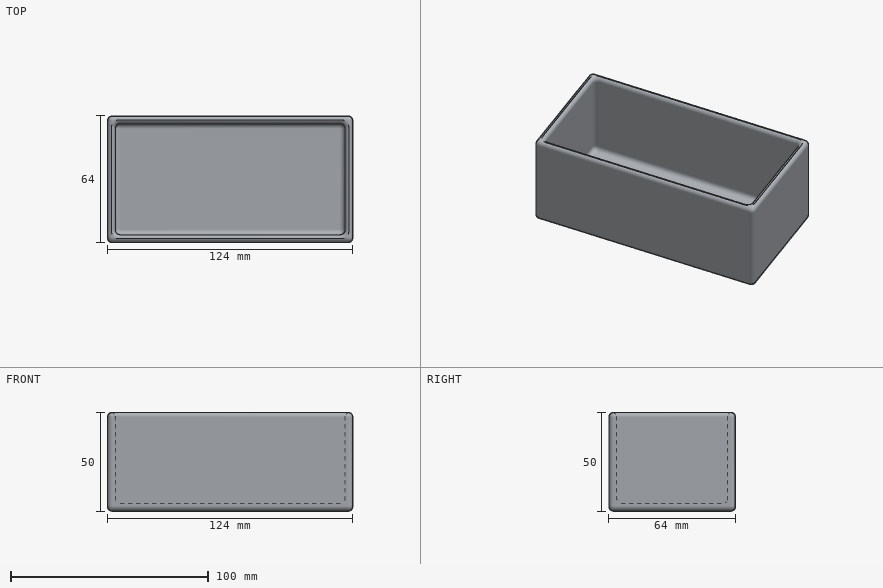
import cadquery as cq

length = 124.0
width = 64.0
height = 50.0

wall = 4.0
floor = wall
edge_radius = 2.5


def rounded_body():
    """Solid box with all twelve edges and eight corners rounded."""
    body = cq.Workplane("XY").box(length, width, height, centered=(True, True, False))
    return body.edges().fillet(edge_radius)


def cavity_mould():
    """Oversized block holding the cavity, with its floor, corners and mouth rounded."""
    margin = 2 * edge_radius
    cavity = (
        cq.Workplane("XY")
        .workplane(offset=floor)
        .box(length - 2 * wall, width - 2 * wall, height - floor, centered=(True, True, False))
        .edges("|Z or <Z")
        .fillet(edge_radius)
    )
    mould = (
        cq.Workplane("XY")
        .box(length + margin, width + margin, height, centered=(True, True, False))
        .cut(cavity)
    )
    mouth = mould.faces(">Z").wires(cq.selectors.LengthNthSelector(0)).edges()
    return mouth.fillet(edge_radius)


result = rounded_body().intersect(cavity_mould())